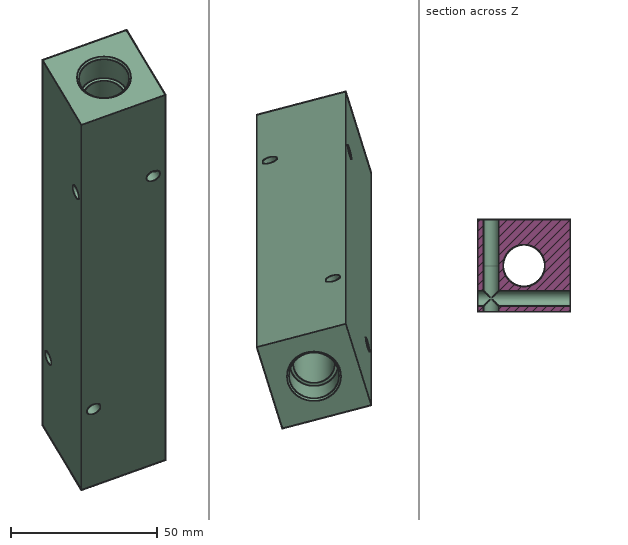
import cadquery as cq

length = 196.8
width = 31.7

bore_diameter = 14.2
port_mouth_diameter = 18.5
port_start_diameter = 17.1
port_depth = 10.5
pipe_taper = 1 / 16
port_chamfer = (port_mouth_diameter - port_start_diameter) / 2
port_end_diameter = port_start_diameter - pipe_taper * (port_depth - port_chamfer)

mount_diameter = 5.1
mount_offset = 11.2
mount_height = 57.0


def make_port(end):
    """Cutting tool for the tapered port at the top (end = 1) or bottom (end = -1) face."""
    face_height = end * length / 2
    return (
        cq.Workplane("XZ")
        .moveTo(0, face_height)
        .lineTo(port_mouth_diameter / 2, face_height)
        .lineTo(port_start_diameter / 2, face_height - end * port_chamfer)
        .lineTo(port_end_diameter / 2, face_height - end * port_depth)
        .lineTo(0, face_height - end * port_depth)
        .close()
        .revolve(360, (0, 0, 0), (0, 1, 0))
    )


def make_mount_hole(plane, end):
    """Cutting tool for one through hole, normal to the given plane, near one end."""
    return (
        cq.Workplane(plane)
        .center(end * mount_offset, end * mount_height)
        .circle(mount_diameter / 2)
        .extrude(width, both=True)
    )


bar = cq.Workplane("XY").box(width, width, length)
bore = cq.Workplane("XY").circle(bore_diameter / 2).extrude(length, both=True)

result = bar.cut(bore)
for end in (1, -1):
    result = result.cut(make_port(end))
    for plane in ("YZ", "XZ"):
        result = result.cut(make_mount_hole(plane, end))